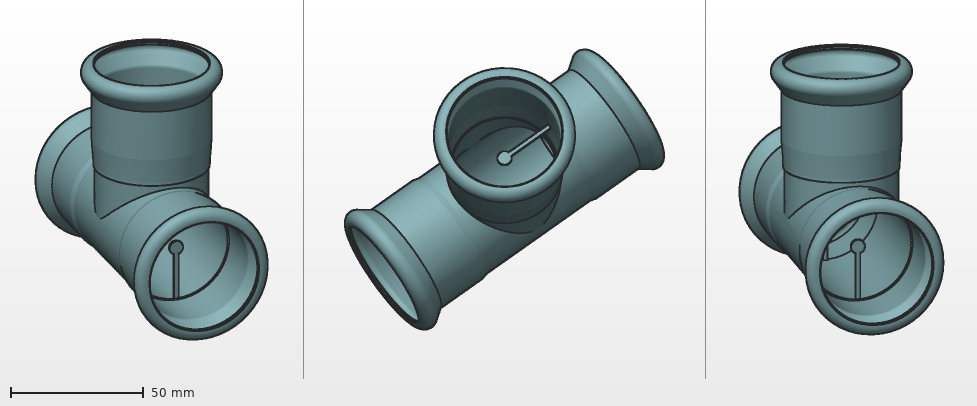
import cadquery as cq
import math

run_half_length = 57.0
bead_radius = 53.29 / 2
branch_height = 91.34 - bead_radius

socket_radius = 45.4 / 2
socket_bore_radius = 42.3 / 2
wall = socket_radius - socket_bore_radius
mouth_radius = 43.3 / 2
bead_arc_radius = 3.65
mouth_edge_radius = 0.4
cone_end_depth = 10.4
cone_blend_radius = 2.0
socket_depth = 30.1

run_radius = 44.1 / 2
run_bore_radius = 41.0 / 2
run_neck_length = 2.5

neck_radius = 44.0 / 2
neck_bore_radius = 41.0 / 2
neck_taper_length = 9.4
neck_rim_length = 1.4
collar_radius = 43.0 / 2
collar_bore_radius = 40.0 / 2

marker_disc_radius = 2.7
marker_spoke_width = 1.8
marker_thickness = 1.0

bead_centre_depth = bead_arc_radius
bead_centre_radius = bead_radius - bead_arc_radius
cone_run = cone_end_depth - bead_centre_depth
cone_drop = bead_centre_radius - socket_radius
cone_angle = math.asin(bead_arc_radius / math.hypot(cone_run, cone_drop)) - math.atan2(cone_drop, cone_run)


def bead_point(arc_radius, angle):
    """Radius and depth on a bead arc; angle 0 is the crown, positive is away from the mouth."""
    radius = bead_centre_radius + arc_radius * math.cos(angle)
    depth = bead_centre_depth + arc_radius * math.sin(angle)
    return radius, depth


def revolve_profile(profile):
    """Turn a (radius, depth) outline about the depth axis."""
    return profile.close().revolve(360, (0, 0, 0), (0, 1, 0))


def port_outside(neck_points, end_depth):
    """Solid envelope of one socket and its neck, down to the end depth."""
    outline = (
        cq.Workplane("XY")
        .moveTo(0, 0)
        .lineTo(*bead_point(bead_arc_radius, -math.pi / 2))
        .threePointArc(bead_point(bead_arc_radius, 0), bead_point(bead_arc_radius, cone_angle))
        .lineTo(socket_radius, cone_end_depth)
    )
    for point in neck_points:
        outline = outline.lineTo(*point)
    return revolve_profile(outline.lineTo(0, end_depth))


def port_bore(neck_points, end_depth):
    """Space inside one socket: mouth, bead groove, cone, socket bore and neck bore."""
    groove_radius = bead_arc_radius - wall
    inner_cone_end = cone_end_depth - wall * math.tan(cone_angle / 2)
    blend_setback = cone_blend_radius * math.tan(cone_angle / 2)
    blend_start = (
        socket_bore_radius + blend_setback * math.sin(cone_angle),
        inner_cone_end - blend_setback * math.cos(cone_angle),
    )
    blend_end = (socket_bore_radius, inner_cone_end + blend_setback)
    blend_centre_radius = socket_bore_radius + cone_blend_radius
    blend_middle = (
        blend_centre_radius - cone_blend_radius * math.cos(cone_angle / 2),
        blend_end[1] - cone_blend_radius * math.sin(cone_angle / 2),
    )
    outline = (
        cq.Workplane("XY")
        .moveTo(0, 0)
        .lineTo(mouth_radius + mouth_edge_radius, 0)
        .radiusArc((mouth_radius, mouth_edge_radius), -mouth_edge_radius)
        .lineTo(mouth_radius, wall - mouth_edge_radius)
        .radiusArc((mouth_radius + mouth_edge_radius, wall), -mouth_edge_radius)
        .lineTo(*bead_point(groove_radius, -math.pi / 2))
        .threePointArc(bead_point(groove_radius, 0), bead_point(groove_radius, cone_angle))
        .lineTo(*blend_start)
        .threePointArc(blend_middle, blend_end)
    )
    for point in neck_points:
        outline = outline.lineTo(*point)
    return revolve_profile(outline.lineTo(0, end_depth))


run_neck_end = socket_depth + run_neck_length
run_outside_points = [
    (socket_radius, socket_depth),
    (run_radius, run_neck_end),
    (run_radius, run_half_length),
]
run_bore_points = [
    (socket_bore_radius, socket_depth),
    (run_bore_radius, socket_depth),
    (run_bore_radius, run_half_length),
]
taper_end = socket_depth + neck_taper_length
rim_end = taper_end + neck_rim_length
branch_outside_points = [
    (socket_radius, socket_depth),
    (neck_radius, taper_end),
    (neck_radius, rim_end),
    (collar_radius, rim_end),
    (collar_radius, branch_height),
]
branch_bore_points = [
    (socket_bore_radius, socket_depth),
    (neck_bore_radius, taper_end),
    (neck_bore_radius, rim_end),
    (collar_bore_radius, rim_end),
    (collar_bore_radius, branch_height),
]


def marker(face_depth, bore_radius):
    """Disc and +X spoke facing the mouth at the face depth, the spoke meeting the bore wall."""
    disc = cq.Workplane("XZ").circle(marker_disc_radius).extrude(-marker_thickness)
    spoke = cq.Workplane("XZ").center(bore_radius / 2, 0).rect(bore_radius, marker_spoke_width)
    spoke = spoke.extrude(-marker_thickness)
    bore = cq.Workplane("XZ").circle(bore_radius).extrude(-marker_thickness)
    return disc.union(spoke).intersect(bore).translate((0, face_depth, 0))


def place_left(part):
    """Move port geometry to the -X mouth, its depth axis along +X and its local Z kept."""
    turned = part.rotate((0, 0, 0), (0, 0, 1), -90)
    return turned.translate((-run_half_length, 0, 0))


def place_right(part):
    """Move port geometry to the +X mouth, the mirror image of the -X one."""
    return place_left(part).mirror("YZ")


def place_branch(part):
    """Move port geometry to the top mouth, its depth axis along -Z and its local X kept."""
    turned = part.rotate((0, 0, 0), (1, 0, 0), -90)
    return turned.translate((0, 0, branch_height))


run_outside = port_outside(run_outside_points, run_half_length)
run_bore = port_bore(run_bore_points, run_half_length)
branch_outside = port_outside(branch_outside_points, branch_height)
branch_bore = port_bore(branch_bore_points, branch_height)

envelope = place_left(run_outside).union(place_right(run_outside))
envelope = envelope.union(place_branch(branch_outside))
cavity = place_left(run_bore).union(place_right(run_bore))
cavity = cavity.union(place_branch(branch_bore))
tee = envelope.cut(cavity)

run_marker = marker(socket_depth, run_bore_radius).rotate((0, 0, 0), (0, 1, 0), 90)
branch_marker = marker(socket_depth - marker_thickness, socket_bore_radius)
markers = [place_left(run_marker), place_right(run_marker), place_branch(branch_marker)]

result = cq.Compound.makeCompound([tee.val(), *[each.val() for each in markers]])